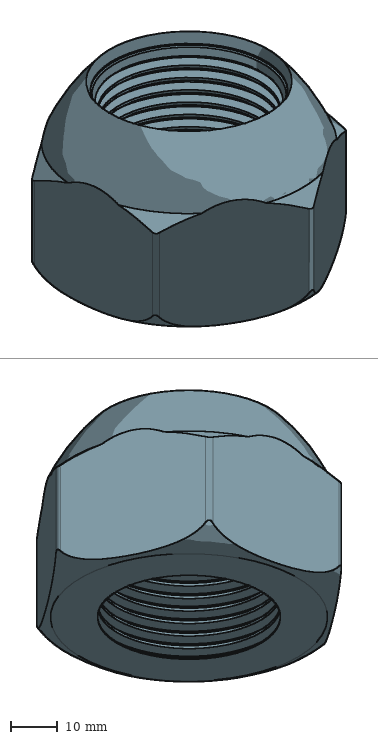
import cadquery as cq
import math

height = 43.1
across_flats = 61.25
corner_fillet = 1.55
sharp_corner_diameter = across_flats / math.cos(math.pi / 6)
corner_radius = sharp_corner_diameter / 2 - corner_fillet * (1 / math.cos(math.pi / 6) - 1)

base_radius = 29.5
base_edge_height = 5.3
base_arc_mid = (33.1, 2.05)
shoulder_corner_z = 25.15
seat_base_radius = 31.45
seat_base_z = 28.4
seat_arc_mid = (27.4, 36.2)
seat_top_radius = 21.9

minor_radius = 19.45
major_radius = 21.15
groove_count = 14
first_groove_z = 1.4
last_groove_z = 40.4
pitch = (last_groove_z - first_groove_z) / (groove_count - 1)
flank_angle = math.radians(30)
root_half_width = pitch / 16
mouth_half_width = root_half_width + (major_radius - minor_radius) * math.tan(flank_angle)

lead_in_angle = math.radians(21)
lead_in_depth = (seat_top_radius - minor_radius) / math.tan(lead_in_angle)


def revolve_profile(profile):
    """Turn a closed (radius, height) profile around the Z axis."""
    return profile.close().revolve(360, (0, 0, 0), (0, 1, 0))


def hex_prism():
    """Hexagon with two corners on the X axis and rounded vertical edges."""
    prism = cq.Workplane("XY").polygon(6, sharp_corner_diameter).extrude(height)
    return prism.edges("|Z").fillet(corner_fillet)


def turned_envelope():
    """Round body that trims the hexagon above and below its flats."""
    shoulder_slope = (seat_base_z - shoulder_corner_z) / (corner_radius - seat_base_radius)
    envelope_radius = sharp_corner_diameter / 2
    shoulder_z = seat_base_z - shoulder_slope * (envelope_radius - seat_base_radius)
    return revolve_profile(
        cq.Workplane("XZ")
        .lineTo(base_radius, 0)
        .threePointArc(base_arc_mid, (corner_radius, base_edge_height))
        .lineTo(envelope_radius, base_edge_height)
        .lineTo(envelope_radius, shoulder_z)
        .lineTo(seat_base_radius, seat_base_z)
        .threePointArc(seat_arc_mid, (seat_top_radius, height))
        .lineTo(0, height)
    )


def threaded_bore():
    """Through bore carrying the V-shaped thread grooves."""
    profile = cq.Workplane("XZ").lineTo(minor_radius, 0)
    for index in range(groove_count):
        groove_z = first_groove_z + index * pitch
        profile = (
            profile.lineTo(minor_radius, groove_z - mouth_half_width)
            .lineTo(major_radius, groove_z - root_half_width)
            .lineTo(major_radius, groove_z + root_half_width)
            .lineTo(minor_radius, groove_z + mouth_half_width)
        )
    return revolve_profile(profile.lineTo(minor_radius, height).lineTo(0, height))


def lead_in():
    """Steep conical mouth that truncates the uppermost threads."""
    return revolve_profile(
        cq.Workplane("XZ")
        .moveTo(0, height - lead_in_depth)
        .lineTo(minor_radius, height - lead_in_depth)
        .lineTo(seat_top_radius, height)
        .lineTo(0, height)
    )


result = hex_prism().intersect(turned_envelope()).cut(threaded_bore()).cut(lead_in())